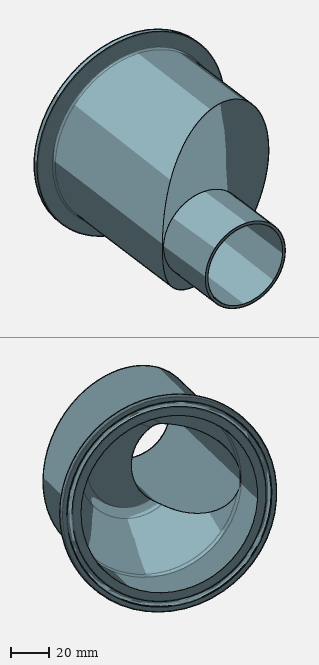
import cadquery as cq
import math


total_length = 146.0
ferrule_diameter = 118.9
body_diameter = 101.7
body_bore_diameter = 97.4
outlet_diameter = body_diameter / 2
outlet_bore_diameter = 47.5
outlet_start = 107.3
outlet_shift = (body_bore_diameter - outlet_bore_diameter) / 2

rim_thickness = 3.4
rim_edge_radius = 0.5
ferrule_back_angle = 20.0
neck_fillet_radius = 1.3

groove_radius = 54.9
groove_width = 2.8
groove_depth = 1.2
groove_lip_fillet = 0.5

outer_taper_angle = 45.0

bore_length = 28.3
cavity_taper_angle = 30.0
cavity_floor_radius = 23.1
cavity_entry_fillet = 5.5
cavity_floor_fillet = 5.8

body_radius = body_diameter / 2
bore_radius = body_bore_diameter / 2
ferrule_radius = ferrule_diameter / 2
outlet_radius = outlet_diameter / 2
groove_inner_radius = groove_radius - groove_width / 2
groove_outer_radius = groove_radius + groove_width / 2
pick_tolerance = 0.01


def revolve_about_x(profile):
    return profile.close().revolve(360, (0, 0, 0), (1, 0, 0))


def round_circle(body, x, radius, fillet_radius):
    edges = [
        edge
        for edge in body.edges("%CIRCLE").vals()
        if abs(edge.Center().x - x) < pick_tolerance and abs(edge.radius() - radius) < pick_tolerance
    ]
    return body.newObject(edges).fillet(fillet_radius)


def cylinder_along_x(radius, start, end, y=0.0):
    return cq.Workplane("YZ", origin=(start, y, 0)).circle(radius).extrude(end - start)


def make_ferrule_and_body():
    back_length = (ferrule_radius - body_radius) * math.tan(math.radians(ferrule_back_angle))
    neck_x = rim_thickness + back_length
    profile = (
        cq.Workplane("XY")
        .lineTo(0, ferrule_radius)
        .lineTo(rim_thickness, ferrule_radius)
        .lineTo(neck_x, body_radius)
        .lineTo(outlet_start, body_radius)
        .lineTo(outlet_start, 0)
    )
    body = revolve_about_x(profile)
    body = round_circle(body, 0, ferrule_radius, rim_edge_radius)
    body = round_circle(body, rim_thickness, ferrule_radius, rim_edge_radius)
    return round_circle(body, neck_x, body_radius, neck_fillet_radius)


def make_outer_taper():
    start_radius = outlet_radius + outlet_start * math.tan(math.radians(outer_taper_angle))
    cone = cq.Solid.makeCone(
        start_radius, outlet_radius, outlet_start, cq.Vector(0, -outlet_shift, 0), cq.Vector(1, 0, 0)
    )
    return cq.Workplane(cone)


def make_cavity():
    taper = math.radians(cavity_taper_angle)
    corner_radius = cavity_floor_radius + cavity_floor_fillet * math.tan(math.pi / 4 - taper / 2)
    floor_x = bore_length + (bore_radius - corner_radius) / math.tan(taper)
    profile = (
        cq.Workplane("XY")
        .lineTo(0, bore_radius)
        .lineTo(bore_length, bore_radius)
        .lineTo(floor_x, corner_radius)
        .lineTo(floor_x, 0)
    )
    cavity = revolve_about_x(profile)
    cavity = round_circle(cavity, floor_x, corner_radius, cavity_floor_fillet)
    return round_circle(cavity, bore_length, bore_radius, cavity_entry_fillet)


def cut_groove(body):
    profile = (
        cq.Workplane("XY")
        .moveTo(0, groove_inner_radius)
        .threePointArc((groove_depth, groove_radius), (0, groove_outer_radius))
    )
    body = body.cut(revolve_about_x(profile))
    for lip_radius in (groove_inner_radius, groove_outer_radius):
        body = round_circle(body, 0, lip_radius, groove_lip_fillet)
    return body


outlet_tube = cylinder_along_x(outlet_radius, outlet_start, total_length, -outlet_shift)
outlet_bore = cylinder_along_x(outlet_bore_diameter / 2, bore_length, total_length, -outlet_shift)

result = make_ferrule_and_body().intersect(make_outer_taper()).union(outlet_tube)
result = result.cut(make_cavity()).cut(outlet_bore)
result = cut_groove(result)